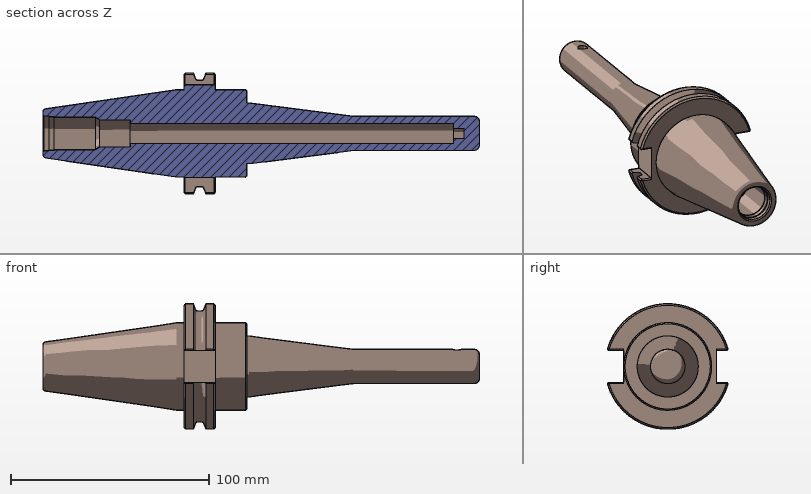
import cadquery as cq
import math

LENGTH = 220.6
GAUGE_X = 67.7
FLANGE_START = 71.3
FLANGE_END = 87.2
COLLAR_END = 103.0
NECK_START = 104.4
SHANK_START = 156.9

GAUGE_DIA = 44.4
TAPER_RATIO = 7 / 24
FLANGE_DIA = 63.5
NECK_DIA = 31.0
SHANK_DIA = 17.5
TAPER_END_FILLET = 1.8
COLLAR_CHAMFER = 0.7
TIP_FILLET = 2.9

FLANGE_CHAMFER = 0.9
GROOVE_CENTRE = 79.2
GROOVE_DIA = 56.3
GROOVE_FLOOR_WIDTH = 3.5
GROOVE_FILLET = 0.9
GROOVE_MOUTH_WIDTH = 6.5
SLOT_WIDTH = 16.0
SLOT_CHAMFER = 0.7
FRONT_SLOT_FLOOR = 22.3
BACK_SLOT_FLOOR = 24.7

MOUTH_DIA = 18.8
MOUTH_DEPTH = 0.7
COUNTERBORE_DIA = 17.5
COUNTERBORE_DEPTH = 3.0
PILOT_DIA = 16.8
PILOT_END = 5.7
THREAD_DIA = 16.3
THREAD_END = 26.5
CONE_END = 28.7
INNER_DIA = 13.5
INNER_END = 44.1
COOLANT_DIA = 10.0
COOLANT_END = 207.5
OUTLET_DIA = 4.9
OUTLET_END = 212.7

SIDE_HOLE_DIA = 4.9
SIDE_HOLE_X = 209.2
SIDE_HOLE_FLOOR = 1.0


def revolve_profile(points):
    """Revolve an (x, radius) outline around the X axis."""
    return cq.Workplane("XY").polyline(points).close().revolve(360, (0, 0), (1, 0))


def make_body():
    gauge_r = GAUGE_DIA / 2
    small_r = gauge_r - GAUGE_X * TAPER_RATIO / 2
    body = revolve_profile([
        (0, 0),
        (0, small_r),
        (GAUGE_X, gauge_r),
        (COLLAR_END - COLLAR_CHAMFER, gauge_r),
        (COLLAR_END, gauge_r - COLLAR_CHAMFER),
        (COLLAR_END, NECK_DIA / 2),
        (NECK_START, NECK_DIA / 2),
        (SHANK_START, SHANK_DIA / 2),
        (LENGTH, SHANK_DIA / 2),
        (LENGTH, 0),
    ])
    body = body.faces("<X").edges().fillet(TAPER_END_FILLET)
    return body.faces(">X").edges().fillet(TIP_FILLET)


def slot_cutter(side, floor):
    """Block that opens one drive slot, flared at both flange faces and at the rim."""
    length = FLANGE_END - FLANGE_START
    centre_x = (FLANGE_START + FLANGE_END) / 2
    half = SLOT_WIDTH / 2
    flared_half = half + SLOT_CHAMFER
    rim_y = math.sqrt((FLANGE_DIA / 2) ** 2 - flared_half ** 2)

    face_outline = [
        (-length / 2, flared_half),
        (-length / 2 + SLOT_CHAMFER, half),
        (length / 2 - SLOT_CHAMFER, half),
        (length / 2, flared_half),
        (length / 2, -flared_half),
        (length / 2 - SLOT_CHAMFER, -half),
        (-length / 2 + SLOT_CHAMFER, -half),
        (-length / 2, -flared_half),
    ]
    channel = cq.Workplane("XZ").polyline(face_outline).close().extrude(-side * FLANGE_DIA)
    channel = channel.translate((centre_x, side * floor, 0))

    rim_outline = [
        (side * (rim_y - SLOT_CHAMFER), half),
        (side * rim_y, flared_half),
        (side * FLANGE_DIA, flared_half),
        (side * FLANGE_DIA, -flared_half),
        (side * rim_y, -flared_half),
        (side * (rim_y - SLOT_CHAMFER), -half),
    ]
    mouth_plane = cq.Workplane("YZ", origin=(FLANGE_START, 0, 0))
    mouth = mouth_plane.polyline(rim_outline).close().extrude(length)
    return channel.union(mouth)


def make_groove():
    """V groove ring, with its flanks carried on past the flange rim."""
    groove_r = GROOVE_DIA / 2
    depth = FLANGE_DIA / 2 - groove_r
    floor_half = GROOVE_FLOOR_WIDTH / 2
    flare = GROOVE_MOUTH_WIDTH / 2 - floor_half
    outer_half = floor_half + 2 * flare
    outer_r = groove_r + 2 * depth
    groove = revolve_profile([
        (GROOVE_CENTRE - floor_half, groove_r),
        (GROOVE_CENTRE + floor_half, groove_r),
        (GROOVE_CENTRE + outer_half, outer_r),
        (GROOVE_CENTRE - outer_half, outer_r),
    ])
    floor_edges = groove.edges(cq.selectors.RadiusNthSelector(0))
    return floor_edges.fillet(GROOVE_FILLET)


def make_flange():
    disc = (
        cq.Workplane("YZ", origin=(FLANGE_START, 0, 0))
        .circle(FLANGE_DIA / 2)
        .extrude(FLANGE_END - FLANGE_START)
        .edges().chamfer(FLANGE_CHAMFER)
    )
    disc = disc.cut(slot_cutter(-1, FRONT_SLOT_FLOOR)).cut(slot_cutter(1, BACK_SLOT_FLOOR))
    return disc.cut(make_groove())


def make_bore():
    return revolve_profile([
        (0, 0),
        (0, MOUTH_DIA / 2),
        (MOUTH_DEPTH, COUNTERBORE_DIA / 2),
        (COUNTERBORE_DEPTH, COUNTERBORE_DIA / 2),
        (COUNTERBORE_DEPTH, PILOT_DIA / 2),
        (PILOT_END, PILOT_DIA / 2),
        (PILOT_END, THREAD_DIA / 2),
        (THREAD_END, THREAD_DIA / 2),
        (CONE_END, INNER_DIA / 2),
        (INNER_END, INNER_DIA / 2),
        (INNER_END, COOLANT_DIA / 2),
        (COOLANT_END, COOLANT_DIA / 2),
        (COOLANT_END, OUTLET_DIA / 2),
        (OUTLET_END, OUTLET_DIA / 2),
        (OUTLET_END, 0),
    ])


def make_side_hole():
    return (
        cq.Workplane("XY", origin=(SIDE_HOLE_X, 0, SIDE_HOLE_FLOOR))
        .circle(SIDE_HOLE_DIA / 2)
        .extrude(SHANK_DIA)
    )


result = make_body().union(make_flange()).cut(make_bore()).cut(make_side_hole())